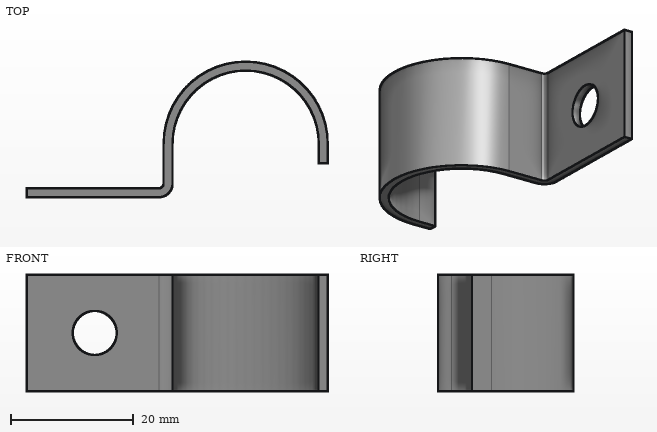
import cadquery as cq

total_length = 49.11
total_depth = 22.15
strap_width = 19.05
thickness = 1.5

outer_radius = 13.4
inner_radius = outer_radius - thickness
free_leg_length = 3.2

bend_inner_radius = 0.75
bend_outer_radius = bend_inner_radius + thickness

hole_diameter = 7.14
hole_from_flange_end = 11.1

flange_end_x = outer_radius - total_length
flange_front_y = outer_radius - total_depth
flange_back_y = flange_front_y + thickness


def strap_solid():
    """Bent strip: flat flange, bend, leg, half circle and short free leg."""
    profile = (
        cq.Workplane("XY")
        .moveTo(flange_end_x, flange_front_y)
        .lineTo(-inner_radius - bend_outer_radius, flange_front_y)
        .radiusArc((-inner_radius, flange_front_y + bend_outer_radius), -bend_outer_radius)
        .lineTo(-inner_radius, 0)
        .threePointArc((0, inner_radius), (inner_radius, 0))
        .lineTo(inner_radius, -free_leg_length)
        .lineTo(outer_radius, -free_leg_length)
        .lineTo(outer_radius, 0)
        .threePointArc((0, outer_radius), (-outer_radius, 0))
        .lineTo(-outer_radius, flange_back_y + bend_inner_radius)
        .radiusArc((-outer_radius - bend_inner_radius, flange_back_y), bend_inner_radius)
        .lineTo(flange_end_x, flange_back_y)
        .close()
    )
    return profile.extrude(strap_width)


def mounting_hole():
    """Cylinder through the flange thickness, centred on the strap width."""
    axis_point = cq.Vector(
        flange_end_x + hole_from_flange_end,
        flange_front_y,
        strap_width / 2,
    )
    along_y = cq.Vector(0, 1, 0)
    return cq.Solid.makeCylinder(hole_diameter / 2, thickness, axis_point, along_y)


result = strap_solid().cut(cq.Workplane(obj=mounting_hole()))